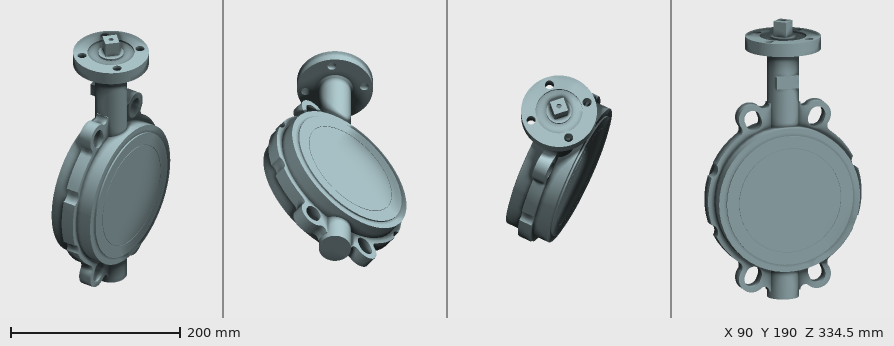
import cadquery as cq
import math


stem_bottom = -122.5
total_height = 334.5
square_height = 18.0
square_top = stem_bottom + total_height
flange_top = square_top - square_height

body_diameter = 174.2
body_width = 54.2
seat_radius = 78.0
seat_width = 58.2
bore_radius = 63.2
disc_gap = 0.7
disc_gap_depth = 0.7

plate_thickness = 15.7
rim_radius = 95.0
lug_radius = 16.7
inner_bolt_circle = 100.0
outer_bolt_circle = 105.0
bolt_slot_width = 19.7
bolt_count = 8
stem_blend_radius = 6.0
rim_blend_radius = 7.0
bolt_pitch = 360 / bolt_count
lug_angle = 1.5 * bolt_pitch

stem_radius = 19.0
flange_diameter = 90.0
flange_thickness = 15.7
flange_bottom = flange_top - flange_thickness
neck_radius = 21.5
neck_height = 2.7
recess_radius = 27.8
recess_depth = 2.5
shaft_radius = 15.0
square_diagonal = 24.0
center_hole_radius = 2.85
center_hole_depth = 3.5
mount_hole_offset = 24.7
mount_hole_radius = 5.5

tag_width = 27.5
tag_bottom = 133.5
tag_height = 15.0
tag_outer_x = -20.0
tag_depth = 7.7


def disc_along_x(radius, width):
    """Cylinder on the flow axis, centred on the origin."""
    return cq.Workplane("YZ").circle(radius).extrude(width / 2, both=True)


def cylinder_along_z(radius, bottom, top):
    """Cylinder on the stem axis between two heights."""
    return cq.Workplane("XY").workplane(offset=bottom).circle(radius).extrude(top - bottom)


def polar(radius, angle):
    """Point in the YZ plane at an angle in degrees from the Y axis."""
    return (radius * math.cos(math.radians(angle)), radius * math.sin(math.radians(angle)))


def toward(start, end, distance):
    """Point at a given distance from start on the way to end."""
    share = distance / math.dist(start, end)
    return (start[0] + share * (end[0] - start[0]), start[1] + share * (end[1] - start[1]))


def blend_middle(center, start, end):
    """Middle point of the short arc around center from start to end."""
    chord_middle = ((start[0] + end[0]) / 2, (start[1] + end[1]) / 2)
    return toward(center, chord_middle, math.dist(center, start))


def make_lug():
    """Upper +Y lug, blended by concave arcs into the stem and into the rim."""
    lug_center = polar(outer_bolt_circle, lug_angle)
    lug_tip = polar(outer_bolt_circle + lug_radius, lug_angle)

    stem_reach = lug_radius + stem_blend_radius
    inner_y = stem_radius + stem_blend_radius
    inner_rise = math.sqrt(stem_reach**2 - (lug_center[0] - inner_y) ** 2)
    inner_center = (inner_y, lug_center[1] + inner_rise)
    inner_start = (stem_radius, inner_center[1])
    inner_end = toward(inner_center, lug_center, stem_blend_radius)
    inner_mid = blend_middle(inner_center, inner_start, inner_end)

    lug_reach = lug_radius + rim_blend_radius
    rim_reach = rim_radius + rim_blend_radius
    spread = math.acos(
        (rim_reach**2 + outer_bolt_circle**2 - lug_reach**2) / (2 * rim_reach * outer_bolt_circle)
    )
    outer_center = polar(rim_reach, lug_angle - math.degrees(spread))
    outer_start = toward(outer_center, lug_center, rim_blend_radius)
    outer_end = toward(outer_center, (0, 0), rim_blend_radius)
    outer_mid = blend_middle(outer_center, outer_start, outer_end)

    return (
        cq.Workplane("YZ")
        .lineTo(0, inner_start[1])
        .lineTo(*inner_start)
        .threePointArc(inner_mid, inner_end)
        .threePointArc(lug_tip, outer_start)
        .threePointArc(outer_mid, outer_end)
        .close()
        .extrude(plate_thickness / 2, both=True)
    )


def make_rim_plate():
    """Rim with four lugs; the bolt slots pierce the lugs and notch the rim edge between them."""
    upper_lug = make_lug()
    lower_lug = upper_lug.mirror("XY")
    plate = disc_along_x(rim_radius, plate_thickness)
    for lug in (upper_lug, lower_lug):
        plate = plate.union(lug).union(lug.mirror("XZ"))

    slot_length = outer_bolt_circle - inner_bolt_circle + bolt_slot_width
    slot = (
        cq.Workplane("YZ")
        .center((inner_bolt_circle + outer_bolt_circle) / 2, 0)
        .slot2D(slot_length, bolt_slot_width)
        .extrude(plate_thickness / 2, both=True)
    )
    for index in range(bolt_count):
        plate = plate.cut(slot.rotate((0, 0, 0), (1, 0, 0), (index + 0.5) * bolt_pitch))
    return plate


def make_body():
    """Round body with raised seat faces and a fine groove around the disc on both sides."""
    body = disc_along_x(body_diameter / 2, body_width).union(disc_along_x(seat_radius, seat_width))
    groove = (
        disc_along_x(bore_radius, seat_width)
        .cut(disc_along_x(bore_radius - disc_gap, seat_width))
        .cut(disc_along_x(bore_radius, seat_width - 2 * disc_gap_depth))
    )
    return body.cut(groove)


def make_stem():
    """Stem running through the body, flaring out under the mounting flange."""
    stem = cylinder_along_z(stem_radius, stem_bottom, flange_bottom)
    neck = (
        cq.Workplane("XY")
        .workplane(offset=flange_bottom - neck_height)
        .circle(stem_radius)
        .workplane(offset=neck_height)
        .circle(neck_radius)
        .loft()
    )
    return stem.union(neck)


def make_flange():
    """Mounting flange with a recess around the shaft end and four bolt holes."""
    flange = cylinder_along_z(flange_diameter / 2, flange_bottom, flange_top)
    flange = flange.cut(cylinder_along_z(recess_radius, flange_top - recess_depth, flange_top))
    flange = flange.union(cylinder_along_z(shaft_radius, flange_bottom, flange_top))
    holes = (
        cq.Workplane("XY")
        .workplane(offset=flange_bottom)
        .rect(2 * mount_hole_offset, 2 * mount_hole_offset, forConstruction=True)
        .vertices()
        .circle(mount_hole_radius)
        .extrude(flange_thickness)
    )
    return flange.cut(holes)


def make_square():
    """Square drive end turned by 45 degrees, with a centre hole in its top."""
    square = (
        cq.Workplane("XY")
        .workplane(offset=flange_bottom)
        .polygon(4, square_diagonal)
        .extrude(square_top - flange_bottom)
    )
    return square.cut(cylinder_along_z(center_hole_radius, square_top - center_hole_depth, square_top))


def make_tag():
    """Flat name plate on the -X side, with its back embedded in the stem."""
    return (
        cq.Workplane("XY")
        .box(tag_depth, tag_width, tag_height, centered=(False, True, False))
        .translate((tag_outer_x, 0, tag_bottom))
    )


result = (
    make_body()
    .union(make_rim_plate())
    .union(make_stem())
    .union(make_flange())
    .union(make_square())
    .union(make_tag())
)